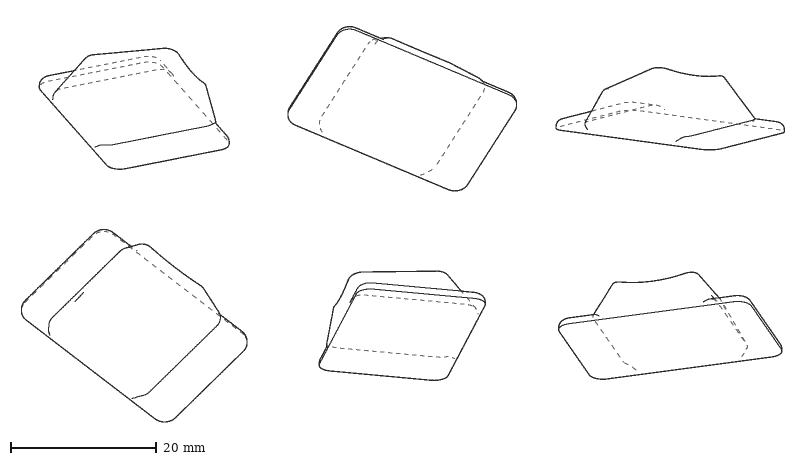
import cadquery as cq

plate_length = 27.7
plate_width = 18.16
plate_height = 1.3
plate_edge_radius = 1.0
corner_radius = 2.0

foot_size = plate_width
foot_height = 1.0
foot_blend_height = 0.4
foot_blend_steps = 2
front_draft = 0.55
side_draft = 0.47
rear_draft = 0.08

top_width = 11.25
top_length = 13.5
top_corner_radius = 1.8
top_center_y = 1.83
top_center_height = 7.6
top_slope = 0.12

scoop_radius = 19.95
scoop_floor_height = 5.98
scoop_length = 55.38
rim_radius = 0.5


def rounded_rectangle(plane, length, width, radius):
    """Sketch centred on the given plane."""
    return cq.Sketch().rect(length, width).vertices().fillet(radius).moved(plane.location)


def tilted_plane(height):
    """Plane through the top centre, sloping down towards +Y."""
    normal = (0, top_slope, 1)
    return cq.Plane(origin=(0, top_center_y, height), xDir=(1, 0, 0), normal=normal)


def make_plate():
    plate = cq.Workplane("XY").box(plate_length, plate_width, plate_height, centered=(True, True, False))
    return plate.edges("|Z").fillet(corner_radius).faces(">Z").edges().fillet(plate_edge_radius)


def foot_section(height):
    """Outline of the rounded foot, bending parabolically from the vertical wall into the taper."""
    rise = height - foot_height + foot_blend_height
    bend = rise**2 / (4 * foot_blend_height)
    front_y = -foot_size / 2 + front_draft * bend
    rear_y = foot_size / 2 - rear_draft * bend
    width = foot_size - 2 * side_draft * bend
    plane = cq.Plane.XY((0, (front_y + rear_y) / 2, height))
    return rounded_rectangle(plane, width, rear_y - front_y, corner_radius)


def make_body():
    bottom = rounded_rectangle(cq.Plane.XY(), foot_size, foot_size, corner_radius)
    blend_start = foot_height - foot_blend_height
    blend_step = 2 * foot_blend_height / foot_blend_steps
    blend = [foot_section(blend_start + i * blend_step) for i in range(foot_blend_steps + 1)]
    top = rounded_rectangle(tilted_plane(top_center_height), top_width, top_length, top_corner_radius)
    return cq.Workplane("XY").placeSketch(bottom, *blend, top).loft(ruled=True)


def make_scoop():
    plane = tilted_plane(scoop_floor_height)
    axis_origin = plane.toWorldCoords((0, -scoop_length / 2, scoop_radius))
    cylinder = cq.Solid.makeCylinder(scoop_radius, scoop_length, axis_origin, plane.yDir)
    return cq.Workplane(cylinder)


body = make_body().cut(make_scoop())
scoop_face = body.faces(cq.selectors.NearestToPointSelector((0, top_center_y, scoop_floor_height)))
body = scoop_face.edges().fillet(rim_radius)
result = make_plate().union(body)